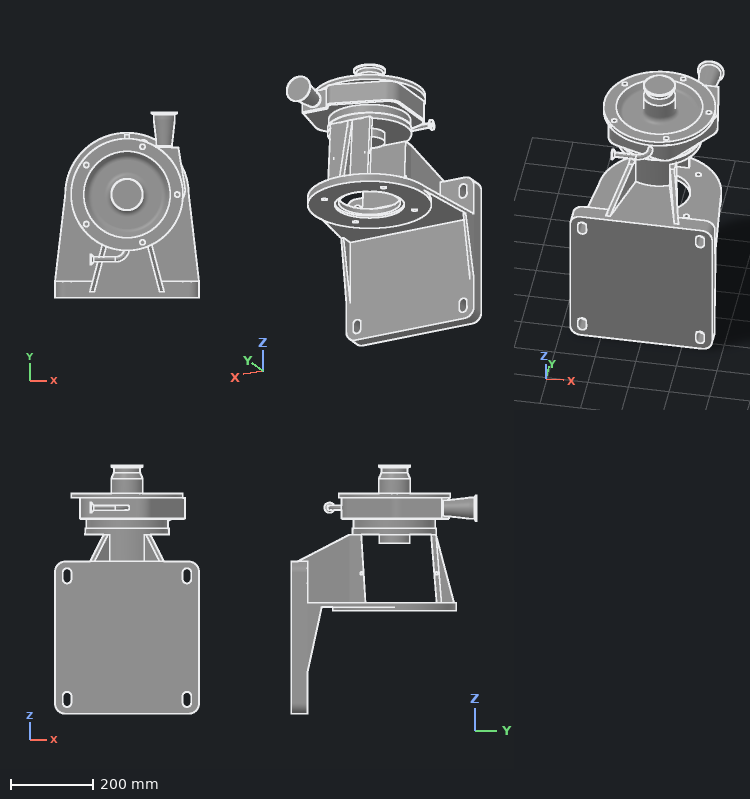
import cadquery as cq
import math


plate_width = 350
plate_height = 369.5
plate_thickness = 40.0
plate_corner_radius = 25.5
plate_back_y = -250.0
plate_front_y = plate_back_y + plate_thickness
slot_width = 20.5
slot_length = 36
slot_x = 145.5
slot_edge_distance = 35.0

shelf_top_z = 269.5
shelf_radius = 150.0
shelf_disc_thickness = 20.0
shelf_web_thickness = 11.0
shelf_bore_radius = 75.0
shelf_bore_lip = 14.5
shelf_underside_recess_radius = 84.5
shelf_hole_circle_radius = 114.5
shelf_hole_diameter = 13.0
bracket_y = -176.0
bracket_bottom_z = 101.5
bracket_thickness = 11.0

lantern_top_z = 435.0
lantern_outer_radius = 102.0
window_top_y = (-80.0, 88.5)
window_bottom_y = (-70.0, 102.0)
front_leg_half_width = 56.5
front_leg_y = -109.0
rib_end_half_width = 90.0
rib_end_y = -235
rib_width = 11.0
back_leg_half_width = 54
back_leg_thickness = 12
back_rib_width = 12
back_rib_foot_y = 145
pin_hole_diameter = 6.5
pin_hole_depth = 12
pin_hole_z = 340.5
pin_hole_y = (-79.5, 102.5)

drum_radius = 99.5
drum_flange_top_z = 450.0
shaft_radius = 37.5
shaft_bottom_z = 413.0

casing_bottom_z = 471.5
cover_bottom_z = 523.5
cover_top_z = 535.0
casing_sides = 5
casing_apothem = 114.5
casing_corner_radius = 34.0
casing_chamfer = 3.0
outlet_side_corner_radius = 12
outlet_block_y = 114.5
outlet_block_corner_x = 125.0
outlet_block_toe = (143.0, 2.0)
outlet_block_toe_radius = 36

cover_radius = 135.5
cover_hole_circle_radius = 122.0
cover_hole_diameter = 12.5
recess_floor_z = 517.0
recess_rim_radius = 105.0
recess_wall_radius = 94.5
recess_wall_z = 522.0
recess_floor_radius = 84.0

nozzle_top_z = 603
nozzle_radius = 38.5
nozzle_root_radius = 54
nozzle_neck_radius = 32.0
nozzle_cone_bottom_z = 570.0
nozzle_cone_top_z = 585
nozzle_rim_thickness = 3.5
nozzle_rim_taper = 3.0
nozzle_rim_chamfer = 1.0

outlet_x = 90.5
outlet_z = 498.5
outlet_end_y = 199.5
outlet_rim_radius = 32.0
outlet_rim_thickness = 2.5
outlet_rim_taper = 3.5
outlet_neck_radius = 26.0
outlet_neck_length = 12
outlet_root_radius = 18.5
outlet_collar_radius = 17.0
outlet_collar_length = 3.5

drain_z = 500.0
drain_radius = 6
drain_run_y = -157.5
drain_bend_radius = 29.0
drain_end_x = -88.5
drain_rim_radius = 12.5
drain_rim_thickness = 2.5
drain_rim_taper = 5.5
drain_bore_radius = 4.0


def prism(points, bottom, top):
    return cq.Workplane("XY").workplane(offset=bottom).polyline(points).close().extrude(top - bottom)


def disc(radius, bottom, top):
    return cq.Workplane("XY").workplane(offset=bottom).circle(radius).extrude(top - bottom)


def side_profile(points, half_width):
    """Extrude a (Y, Z) outline symmetrically about X = 0."""
    return cq.Workplane("YZ").polyline(points).close().extrude(half_width, both=True)


def wall_plate():
    plate = (
        cq.Workplane("XY")
        .box(plate_width, plate_thickness, plate_height, centered=(True, False, False))
        .translate((0, plate_back_y, 0))
        .edges("|Y")
        .fillet(plate_corner_radius)
    )
    slot_heights = (slot_edge_distance, plate_height - slot_edge_distance)
    slot_places = [(x, z) for x in (-slot_x, slot_x) for z in slot_heights]
    slots = (
        cq.Workplane("XZ", origin=(0, plate_front_y, 0))
        .pushPoints(slot_places)
        .slot2D(slot_length, slot_width, 90)
        .extrude(plate_thickness)
    )
    return plate.cut(slots)


def shelf_outline(bottom, top):
    """Half-round shelf end whose straight sides widen to the full plate width."""
    corner_x = plate_width / 2
    return (
        cq.Workplane("XY")
        .workplane(offset=bottom)
        .moveTo(-corner_x, plate_front_y)
        .lineTo(corner_x, plate_front_y)
        .lineTo(shelf_radius, 0)
        .threePointArc((0, shelf_radius), (-shelf_radius, 0))
        .close()
        .extrude(top - bottom)
    )


def shelf():
    web_bottom_z = shelf_top_z - shelf_web_thickness
    body = shelf_outline(web_bottom_z, shelf_top_z)
    body = body.union(disc(shelf_radius, shelf_top_z - shelf_disc_thickness, shelf_top_z))
    body = body.cut(disc(shelf_bore_radius, 0, shelf_top_z))
    body = body.cut(disc(shelf_underside_recess_radius, 0, shelf_top_z - shelf_bore_lip))
    holes = (
        cq.Workplane("XY")
        .polarArray(shelf_hole_circle_radius, 45, 360, 4)
        .circle(shelf_hole_diameter / 2)
        .extrude(shelf_top_z)
    )
    return body.cut(holes)


def shelf_brackets():
    """Triangular webs under both edges of the shelf, flush with its sides."""
    web_bottom_z = shelf_top_z - shelf_web_thickness
    triangle = [(bracket_y, web_bottom_z), (plate_front_y, web_bottom_z), (plate_front_y, bracket_bottom_z)]
    wedge = side_profile(triangle, plate_width / 2).intersect(shelf_outline(0, shelf_top_z))
    inner_half_width = plate_width / 2 - bracket_thickness
    return wedge.cut(side_profile(triangle, inner_half_width))


def front_leg():
    """Leg with two splayed ribs sloping down to the wall plate and a floor level with the plate top."""
    splay = (rib_end_half_width - front_leg_half_width) / (front_leg_y - rib_end_y)
    half_plan = [
        (front_leg_half_width, 0),
        (front_leg_half_width, front_leg_y),
        (rib_end_half_width, rib_end_y),
    ]
    leg = prism(half_plan + [(-x, y) for x, y in reversed(half_plan)], shelf_top_z, lantern_top_z)
    leg = leg.intersect(
        side_profile(
            [
                (window_top_y[0], lantern_top_z),
                (front_leg_y, lantern_top_z),
                (rib_end_y, plate_height),
                (rib_end_y, shelf_top_z),
                (window_bottom_y[0], shelf_top_z),
            ],
            rib_end_half_width,
        )
    )
    pocket_end = rib_end_half_width - rib_width
    pocket_start = pocket_end + splay * rib_end_y
    pocket = prism(
        [(-pocket_start, 0), (pocket_start, 0), (pocket_end, rib_end_y), (-pocket_end, rib_end_y)],
        plate_height,
        lantern_top_z,
    )
    return leg.cut(pocket.cut(disc(lantern_outer_radius, plate_height, lantern_top_z)))


def back_leg():
    top_y = window_top_y[1]
    bottom_y = window_bottom_y[1]
    leg = side_profile(
        [
            (top_y, lantern_top_z),
            (top_y + back_leg_thickness, lantern_top_z),
            (bottom_y + back_leg_thickness, shelf_top_z),
            (bottom_y, shelf_top_z),
        ],
        back_leg_half_width,
    )
    rib = side_profile(
        [
            (top_y + back_leg_thickness, lantern_top_z),
            (back_rib_foot_y, shelf_top_z),
            (bottom_y, shelf_top_z),
            (top_y, lantern_top_z),
        ],
        back_rib_width / 2,
    )
    return leg.union(rib)


def pin_holes():
    """Small blind holes drilled along X into the side faces of both legs."""
    holes = cq.Workplane("XY")
    for half_width, y in zip((front_leg_half_width, back_leg_half_width), pin_hole_y):
        for side in (-1, 1):
            start = cq.Vector(side * half_width, y, pin_hole_z)
            inward = cq.Vector(-side, 0, 0)
            holes = holes.add(cq.Solid.makeCylinder(pin_hole_diameter / 2, pin_hole_depth, start, inward))
    return holes.combine()


def pump_casing():
    """Five-sided casing with rounded corners, one of them drawn out into a square outlet block."""
    face_angle = 2 * math.pi / casing_sides
    corner_distance = casing_apothem / math.cos(face_angle / 2)
    corners = [
        (corner_distance * math.cos(i * face_angle), corner_distance * math.sin(i * face_angle))
        for i in range(1, casing_sides)
    ]
    block_root_x = (casing_apothem - outlet_block_y * math.sin(face_angle / 2)) / math.cos(face_angle / 2)
    block = [outlet_block_toe, (outlet_block_corner_x, outlet_block_y), (block_root_x, outlet_block_y)]
    casing = prism(corners + block, casing_bottom_z, cover_bottom_z)

    middle_z = (casing_bottom_z + cover_bottom_z) / 2
    rounded = [(corner, casing_corner_radius) for corner in corners[1:]]
    rounded += [(corners[0], outlet_side_corner_radius), (outlet_block_toe, outlet_block_toe_radius)]
    for (x, y), radius in rounded:
        casing = casing.edges(cq.selectors.NearestToPointSelector((x, y, middle_z))).fillet(radius)
    return casing.faces("<Z").chamfer(casing_chamfer)


def cover_recess():
    """Ring-shaped dish around the inlet nozzle, with a sloping wall and rounded floor corners."""
    return (
        cq.Workplane("XZ")
        .moveTo(nozzle_radius, cover_top_z)
        .lineTo(recess_rim_radius, cover_top_z)
        .lineTo(recess_wall_radius, recess_wall_z)
        .tangentArcPoint((recess_floor_radius, recess_floor_z), relative=False)
        .lineTo(nozzle_root_radius, recess_floor_z)
        .tangentArcPoint((nozzle_radius, recess_floor_z + nozzle_root_radius - nozzle_radius), relative=False)
        .close()
        .revolve(360, (0, 0, 0), (0, 1, 0))
    )


def inlet_nozzle():
    rim_bottom_z = nozzle_top_z - nozzle_rim_thickness
    return (
        cq.Workplane("XZ")
        .polyline(
            [
                (0, cover_top_z),
                (nozzle_radius, cover_top_z),
                (nozzle_radius, nozzle_cone_bottom_z),
                (nozzle_neck_radius, nozzle_cone_top_z),
                (nozzle_neck_radius, rim_bottom_z - nozzle_rim_taper),
                (nozzle_radius, rim_bottom_z),
                (nozzle_radius, nozzle_top_z - nozzle_rim_chamfer),
                (nozzle_radius - nozzle_rim_chamfer, nozzle_top_z),
                (0, nozzle_top_z),
            ]
        )
        .close()
        .revolve(360, (0, 0, 0), (0, 1, 0))
    )


def bolt_circle(radius, bottom, top):
    return (
        cq.Workplane("XY")
        .workplane(offset=bottom)
        .polarArray(cover_hole_circle_radius, 0, 360, casing_sides)
        .circle(radius)
        .extrude(top - bottom)
    )


def outlet_nozzle():
    root_y = outlet_block_y + outlet_collar_length
    rim_y = outlet_end_y - outlet_rim_thickness
    neck_end_y = rim_y - outlet_rim_taper
    return (
        cq.Workplane("XY")
        .polyline(
            [
                (0, 0),
                (outlet_collar_radius, 0),
                (outlet_collar_radius, root_y),
                (outlet_root_radius, root_y),
                (outlet_neck_radius, neck_end_y - outlet_neck_length),
                (outlet_neck_radius, neck_end_y),
                (outlet_rim_radius, rim_y),
                (outlet_rim_radius, outlet_end_y),
                (0, outlet_end_y),
            ]
        )
        .close()
        .revolve(360, (0, 0, 0), (0, 1, 0))
        .translate((outlet_x, 0, outlet_z))
    )


def drain_pipe():
    """Pipe leaving the casing toward -Y and bending to -X, with a flared rim at its end."""
    pipe_start_y = drain_bend_radius - casing_apothem
    bend_start_y = drain_run_y + drain_bend_radius
    bend_offset = drain_bend_radius * math.sqrt(0.5)
    bend_middle = (bend_offset - drain_bend_radius, bend_start_y - bend_offset)
    path = (
        cq.Workplane("XY", origin=(0, 0, drain_z))
        .moveTo(0, pipe_start_y)
        .lineTo(0, bend_start_y)
        .threePointArc(bend_middle, (-drain_bend_radius, drain_run_y))
        .lineTo(drain_end_x, drain_run_y)
    )
    pipe = (
        cq.Workplane("XZ", origin=(0, pipe_start_y, drain_z))
        .circle(drain_radius)
        .sweep(path)
    )
    rim = (
        cq.Workplane("XY")
        .polyline(
            [
                (drain_end_x, 0),
                (drain_end_x, drain_rim_radius),
                (drain_end_x + drain_rim_thickness, drain_rim_radius),
                (drain_end_x + drain_rim_thickness + drain_rim_taper, drain_radius),
                (drain_end_x + drain_rim_thickness + drain_rim_taper, 0),
            ]
        )
        .close()
        .revolve(360, (0, 0, 0), (1, 0, 0))
        .translate((0, drain_run_y, drain_z))
    )
    bore_length = -drain_bend_radius - drain_end_x
    bore = (
        cq.Workplane("YZ", origin=(drain_end_x, drain_run_y, drain_z))
        .circle(drain_bore_radius)
        .extrude(bore_length)
    )
    return pipe.union(rim).cut(bore)


def pump():
    body = pump_casing().union(disc(cover_radius, cover_bottom_z, cover_top_z))
    body = body.cut(cover_recess()).union(inlet_nozzle())
    body = body.cut(bolt_circle(cover_hole_diameter / 2, cover_bottom_z, cover_top_z))
    body = body.union(disc(drum_radius, drum_flange_top_z, casing_bottom_z))
    body = body.union(disc(lantern_outer_radius, lantern_top_z, drum_flange_top_z))
    body = body.union(disc(shaft_radius, shaft_bottom_z, lantern_top_z))
    return body.union(outlet_nozzle()).union(drain_pipe())


pedestal = wall_plate().union(shelf()).union(shelf_brackets())
pedestal = pedestal.union(front_leg()).union(back_leg()).cut(pin_holes())

result = pedestal.union(pump())